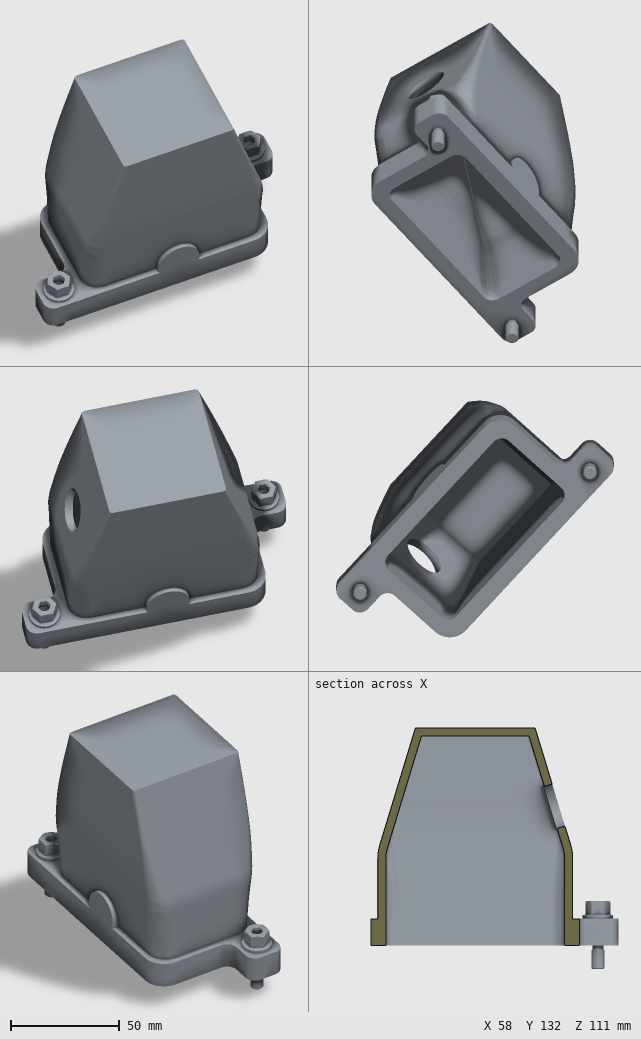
import cadquery as cq
import math

length_y = 132.0
width_x = 58.0

plate_height = 12.5
plate_body_length = 96.1
ear_width = 18.0
ear_radius = 5.0
plate_corner_radius = 2 * ear_radius

hood_top = 100.3
hood_top_length = 55.2
hood_length = 89.9
end_shoulder_z = 43.3
end_shoulder_radius = 21.1
hood_base_width = 52.0
side_shoulder_z = 56.4
side_shoulder_radius = 207.2
corner_radii = (1.5, 2.9, 7.1, 9.0)
wall = 4.0
smallest_cavity_radius = 0.7
cavity_radii = tuple(max(radius - wall, smallest_cavity_radius) for radius in corner_radii)

lug_radius = 10.0
lug_centre_z = 15.8

entry_diameter = 20.0
entry_centre_y = 38.4

screw_x = (width_x - ear_width) / 2
screw_y = 56.5
neck_diameter = 5.0
thread_diameter = 6.1
thread_start_z = -1.6
screw_tip_z = -10.7
thread_lead_in = 0.7
tip_chamfer = 0.4
collar_diameter = 14.0
collar_rim_height = 1.5
collar_cone_rise = 0.4
head_height = 8.0
head_flats = 10.0
head_chamfer_angle = 30.0
socket_flats = 5.0
socket_depth = 4.6
drill_point_angle = 118.0

screw_positions = [(-screw_x, screw_y), (screw_x, -screw_y)]
half_width = width_x / 2
half_length = length_y / 2
ear_inner_x = half_width - ear_width
end_slope = (hood_length - hood_top_length) / 2 / (hood_top - end_shoulder_z)
entry_tilt = math.atan(end_slope)
entry_centre_z = hood_top - (entry_centre_y - hood_top_length / 2) / end_slope
side_taper = (width_x - hood_base_width) / 2 / (side_shoulder_z - plate_height)


half_sector = 30.0


def hexagon_corners(flats):
    """Corner-to-corner diameter of a hexagon."""
    return flats / math.cos(math.radians(half_sector))


def hexagon_prism(flats, bottom_z, height):
    """Upright hexagonal prism with flats facing +X and -X."""
    profile = cq.Workplane("XY").workplane(offset=bottom_z).polygon(6, hexagon_corners(flats))
    return profile.extrude(height).rotate((0, 0, 0), (0, 0, 1), half_sector)


def rounded_shoulder(bottom, shoulder, top, radius):
    """Start, middle and end of the arc tangent to both straight sides at the shoulder."""
    bottom, shoulder, top = (cq.Vector(*point) for point in (bottom, shoulder, top))
    down = (bottom - shoulder).normalized()
    up = (top - shoulder).normalized()
    half_turn = (math.pi - down.getAngle(up)) / 2
    tangent_length = radius * math.tan(half_turn)
    set_back = radius / math.cos(half_turn) - radius
    start = shoulder + down * tangent_length
    middle = shoulder + (down + up).normalized() * set_back
    end = shoulder + up * tangent_length
    return [(point.x, point.y) for point in (start, middle, end)]


def prism(plane, bottom, shoulder, top, shoulder_radius, inset, depth):
    """Extrude a symmetric profile both ways; each side runs bottom, shoulder, top as (half width, z)."""
    start, middle, end = rounded_shoulder(bottom, shoulder, top, shoulder_radius)

    def mirror(point):
        return (-point[0], point[1])

    outline = (
        cq.Workplane(plane)
        .moveTo(*bottom)
        .lineTo(*start)
        .threePointArc(middle, end)
        .lineTo(*top)
        .lineTo(*mirror(top))
        .lineTo(*mirror(end))
        .threePointArc(mirror(middle), mirror(start))
        .lineTo(*mirror(bottom))
        .close()
    )
    if inset:
        outline = outline.offset2D(-inset, "intersection")
    return outline.extrude(depth, both=True)


def round_corners(block, radii):
    """Round the four upright corners with a radius that blends from height to height."""
    vertex_levels = (">Z", ">>Z[-2]", "<<Z[-2]", "<Z")
    fillet = cq.occ_impl.shapes.BRepFilletAPI_MakeFillet(block.val().wrapped)
    for edge in block.edges("<<Z[-2]").vals():
        fillet.Add(edge.wrapped)
        corner = fillet.NbContours()
        centre = edge.Center()
        for level, radius in zip(vertex_levels, radii):
            for vertex in block.vertices(level).vals():
                if vertex.X * centre.x > 0 and vertex.Y * centre.y > 0:
                    fillet.SetRadius(radius, corner, vertex.wrapped)
    return cq.Workplane(cq.Shape.cast(fillet.Shape()))


def hood_block(base_z, inset, corner_radii):
    """Tapered hood shape, drawn in by inset on every side except its base."""
    bottom = base_z - inset
    base_half_width = half_width - side_taper * (side_shoulder_z - bottom)
    ends = prism(
        "YZ",
        (hood_length / 2, bottom),
        (hood_length / 2, end_shoulder_z),
        (hood_top_length / 2, hood_top),
        end_shoulder_radius,
        inset,
        width_x,
    )
    sides = prism(
        "XZ",
        (base_half_width, bottom),
        (half_width, side_shoulder_z),
        (half_width, hood_top),
        side_shoulder_radius,
        inset,
        length_y,
    )
    return round_corners(ends.intersect(sides), corner_radii)


def flange_plate():
    """Plate with an ear at the -X/+Y corner and another at the +X/-Y corner."""
    body_half = plate_body_length / 2
    outline = [
        (-half_width, half_length),
        (-ear_inner_x, half_length),
        (-ear_inner_x, body_half),
        (half_width, body_half),
        (half_width, -half_length),
        (ear_inner_x, -half_length),
        (ear_inner_x, -body_half),
        (-half_width, -body_half),
    ]
    plate = cq.Workplane("XY").polyline(outline).close().extrude(plate_height)
    for sign in (1, -1):
        corner = cq.selectors.NearestToPointSelector((sign * half_width, sign * body_half, plate_height / 2))
        plate = plate.edges(corner).fillet(plate_corner_radius)
    for sign in (1, -1):
        for x, y in ((half_width, half_length), (ear_inner_x, half_length), (ear_inner_x, body_half)):
            corner = cq.selectors.NearestToPointSelector((-sign * x, sign * y, plate_height / 2))
            plate = plate.edges(corner).fillet(ear_radius)
    return plate


def pivot_lugs():
    """Round-topped lugs standing on the plate, running through to both sides."""
    return (
        cq.Workplane("YZ")
        .moveTo(-lug_radius, 0)
        .lineTo(-lug_radius, lug_centre_z)
        .threePointArc((0, lug_centre_z + lug_radius), (lug_radius, lug_centre_z))
        .lineTo(lug_radius, 0)
        .close()
        .extrude(half_width, both=True)
    )


def cable_entry():
    """Cylinder square to the +Y sloping face, cutting through its wall only."""
    outward = (0, math.cos(entry_tilt), math.sin(entry_tilt))
    face = cq.Plane(origin=(0, entry_centre_y, entry_centre_z), xDir=(1, 0, 0), normal=outward)
    return cq.Workplane(face).circle(entry_diameter / 2).extrude(2 * wall, both=True)


def make_housing():
    hood = hood_block(plate_height, 0, corner_radii)
    cavity = hood_block(0, wall, cavity_radii)
    housing = flange_plate().union(hood).union(pivot_lugs()).cut(cavity).cut(cable_entry())
    screw_holes = (
        cq.Workplane("XY")
        .pushPoints(screw_positions)
        .circle(neck_diameter / 2)
        .extrude(plate_height)
    )
    return housing.cut(screw_holes)


def screw_shank():
    """Neck, thread and conical collar, turned about the screw axis."""
    neck = neck_diameter / 2
    thread = thread_diameter / 2
    collar = collar_diameter / 2
    rim_z = plate_height + collar_rim_height
    profile = [
        (0, screw_tip_z),
        (thread - tip_chamfer, screw_tip_z),
        (thread, screw_tip_z + tip_chamfer),
        (thread, thread_start_z - thread_lead_in),
        (neck, thread_start_z),
        (neck, plate_height),
        (collar, plate_height),
        (collar, rim_z),
        (head_flats / 2, rim_z + collar_cone_rise),
        (0, rim_z + collar_cone_rise),
    ]
    return cq.Workplane("XZ").polyline(profile).close().revolve(360, (0, 0), (0, 1))


def screw_head():
    """Hexagon with its top corners turned down to a circle."""
    top_z = plate_height + head_height
    flat_radius = head_flats / 2
    blank_radius = 2 * flat_radius
    chamfer_drop = (blank_radius - flat_radius) * math.tan(math.radians(head_chamfer_angle))
    blank_profile = [
        (0, plate_height),
        (blank_radius, plate_height),
        (blank_radius, top_z - chamfer_drop),
        (flat_radius, top_z),
        (0, top_z),
    ]
    blank = cq.Workplane("XZ").polyline(blank_profile).close().revolve(360, (0, 0), (0, 1))
    return hexagon_prism(head_flats, plate_height, head_height).intersect(blank)


def screw_socket():
    """Hexagonal socket with a countersunk mouth and a drill-point floor."""
    top_z = plate_height + head_height
    floor_z = top_z - socket_depth
    flat_radius = socket_flats / 2
    corner_radius = hexagon_corners(socket_flats) / 2
    mouth_depth = corner_radius - flat_radius
    point_depth = flat_radius / math.tan(math.radians(drill_point_angle / 2))
    mouth_z = top_z - mouth_depth
    mouth_profile = [(0, mouth_z), (flat_radius, mouth_z), (corner_radius, top_z), (0, top_z)]
    point_profile = [(0, floor_z - point_depth), (flat_radius, floor_z), (0, floor_z)]
    socket = hexagon_prism(socket_flats, floor_z, socket_depth)
    for profile in (mouth_profile, point_profile):
        socket = socket.union(cq.Workplane("XZ").polyline(profile).close().revolve(360, (0, 0), (0, 1)))
    return socket


def make_screw():
    return screw_shank().union(screw_head()).cut(screw_socket())


housing = make_housing()

screws = []
for x, y in screw_positions:
    screws.append(make_screw().translate((x, y, 0)))

result = cq.Compound.makeCompound([housing.val(), *[screw.val() for screw in screws]])